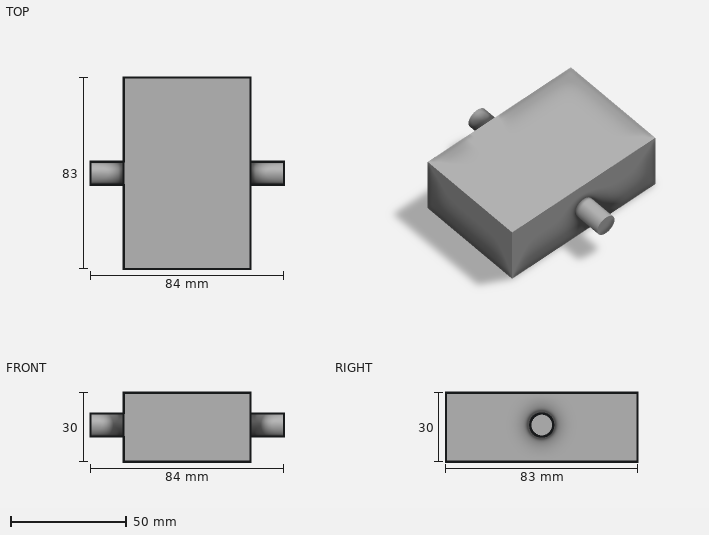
import cadquery as cq

overall_length = 84.0
body_length = 55.0
body_width = 83.0
body_height = 30.0
pin_diameter = 10.0
pin_axis_depth = 14.0

pin_axis_height = body_height / 2 - pin_axis_depth

body = cq.Workplane("XY").box(body_length, body_width, body_height)

pins = (
    cq.Workplane("YZ")
    .center(0, pin_axis_height)
    .circle(pin_diameter / 2)
    .extrude(overall_length / 2, both=True)
)

result = body.union(pins)